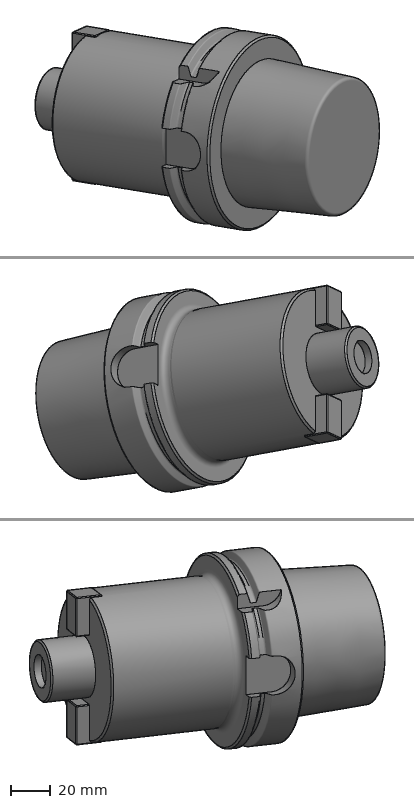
import cadquery as cq
import math

total_length = 174.0
body_start = 24.0
neck_cone_start = 89.8
neck_start = 90.8
flange_start = 95.0
flange_end = 124.0

pilot_radius = 32.0 / 2
body_radius = 78.0 / 2
neck_radius = 77.5 / 2
flange_radius = 100.0 / 2
shank_large_radius = 38.1
shank_small_radius = 35.7

pilot_chamfer = 0.9
body_chamfer = 1.0
flange_front_chamfer = 1.0
flange_rear_chamfer = 1.0
shank_end_fillet = 1.7
neck_fillet = 3.1

groove_center = 103.7
groove_depth = 4.0
groove_floor_width = 3.1
groove_half_angle = 24.0
groove_fillet = 0.9

bore_diameter = 17.0
bore_depth = 4.0

key_size = 14.1
key_start = 16.9
key_inner = 18.3
key_outer = 39.2
key_chamfer = 0.5

slot_end = 119.2
slot_end_radius = 10.3
slot_floor = 43.7
front_slot_width = 2 * slot_end_radius
rear_slot_width = 21.5
notch_wall = 31.1
notch_floor = 31.7


def turned_body():
    """Revolve pilot, body, neck, flange and tapered shank about the X axis."""
    blend_start = flange_start - neck_fillet
    blend_top = neck_radius + neck_fillet
    blend_middle = (
        blend_start + neck_fillet * math.sin(math.radians(45)),
        blend_top - neck_fillet * math.cos(math.radians(45)),
    )
    rounding_start = total_length - shank_end_fillet
    rounding_middle = (
        rounding_start + shank_end_fillet * math.sin(math.radians(45)),
        shank_small_radius - shank_end_fillet * (1 - math.cos(math.radians(45))),
    )
    profile = (
        cq.Workplane("XY")
        .lineTo(0, pilot_radius - pilot_chamfer)
        .lineTo(pilot_chamfer, pilot_radius)
        .lineTo(body_start, pilot_radius)
        .lineTo(body_start, body_radius - body_chamfer)
        .lineTo(body_start + body_chamfer, body_radius)
        .lineTo(neck_cone_start, body_radius)
        .lineTo(neck_start, neck_radius)
        .lineTo(blend_start, neck_radius)
        .threePointArc(blend_middle, (flange_start, blend_top))
        .lineTo(flange_start, flange_radius - flange_front_chamfer)
        .lineTo(flange_start + flange_front_chamfer, flange_radius)
        .lineTo(flange_end - flange_rear_chamfer, flange_radius)
        .lineTo(flange_end, flange_radius - flange_rear_chamfer)
        .lineTo(flange_end, shank_large_radius)
        .lineTo(rounding_start, shank_small_radius)
        .threePointArc(rounding_middle, (total_length, shank_small_radius - shank_end_fillet))
        .lineTo(total_length, 0)
        .close()
    )
    return profile.revolve(360, (0, 0, 0), (1, 0, 0))


def gripper_groove():
    """Ring with a V-shaped section and a flat floor."""
    floor_radius = flange_radius - groove_depth
    floor_half = groove_floor_width / 2
    top_half = floor_half + groove_depth * math.tan(math.radians(groove_half_angle))
    section = (
        cq.Workplane("XY")
        .moveTo(groove_center - floor_half, floor_radius)
        .lineTo(groove_center + floor_half, floor_radius)
        .lineTo(groove_center + top_half, flange_radius)
        .lineTo(groove_center - top_half, flange_radius)
        .close()
    )
    return section.revolve(360, (0, 0, 0), (1, 0, 0))


def driving_key(side):
    """Block standing out of the body face and slightly above its rim."""
    height = key_outer - key_inner
    key = cq.Workplane("XY").box(key_size, key_size, height).edges().chamfer(key_chamfer)
    return key.translate((key_start + key_size / 2, 0, side * (key_inner + height / 2)))


def drive_slot(side, width):
    """Slot with a flat floor, open to the front, with two rounded corners at its inner end."""
    start = flange_start - neck_fillet
    corner_x = slot_end - slot_end_radius
    corner_z = width / 2 - slot_end_radius
    depth = flange_radius - slot_floor
    middle_y = side * (slot_floor + depth / 2)
    slot = (
        cq.Workplane("XY")
        .box(corner_x - start, depth, width)
        .translate(((start + corner_x) / 2, middle_y, 0))
    )
    for corner_side in (1, -1):
        corner = (
            cq.Workplane("XZ", origin=(corner_x, middle_y, corner_side * corner_z))
            .circle(slot_end_radius)
            .extrude(depth / 2, both=True)
        )
        slot = slot.union(corner)
    if corner_z > 0:
        flat_end = (
            cq.Workplane("XY")
            .box(slot_end_radius, depth, 2 * corner_z)
            .translate((slot_end - slot_end_radius / 2, middle_y, 0))
        )
        slot = slot.union(flat_end)
    return slot


def index_notch():
    """Square-cornered notch in the -Y +Z quarter, its floor curving up at the inner end."""
    reach = flange_radius - notch_wall
    height = flange_radius - notch_floor
    end_center = slot_end - slot_end_radius
    straight = (
        cq.Workplane("XY")
        .box(end_center - neck_start, reach, height, centered=False)
        .translate((neck_start, -flange_radius, notch_floor))
    )
    rounded_end = (
        cq.Workplane("XZ", origin=(end_center, -notch_wall, notch_floor + slot_end_radius))
        .circle(slot_end_radius)
        .extrude(reach)
    )
    return straight.union(rounded_end)


bore = cq.Workplane("YZ").circle(bore_diameter / 2).extrude(bore_depth)

result = turned_body().cut(gripper_groove())
groove_band = cq.selectors.BoxSelector(
    (groove_center - groove_depth, -flange_radius - 1.7, -flange_radius - 1.7),
    (groove_center + groove_depth, flange_radius + 1.7, flange_radius + 1.7),
    boundingbox=True,
)
result = result.edges("%CIRCLE").edges(groove_band).fillet(groove_fillet)
result = result.cut(bore)
for key_side in (1, -1):
    result = result.union(driving_key(key_side))
result = result.cut(drive_slot(-1, front_slot_width))
result = result.cut(drive_slot(1, rear_slot_width))
result = result.cut(index_notch())